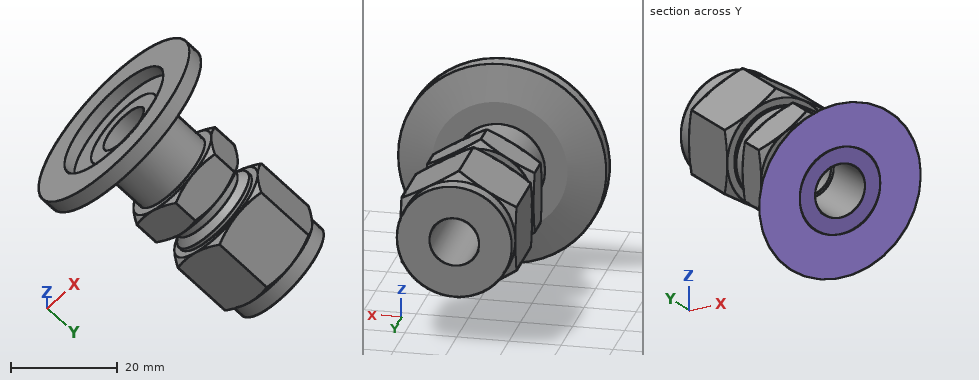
import cadquery as cq
import math


flange_diameter = 40.0
flange_rim_width = 3.12
flange_back = 5.0
flange_cone_angle = 15.0
recess_diameter = 26.2
recess_depth = 2.6

tube_diameter = 17.25
body_hex_flats = 20.65
neck_diameter = 16.0
collar_diameter = 19.05
nut_flats = 22.1
large_bore_diameter = 10.65
small_bore_diameter = 9.5

body_hex_start = 15.5
body_hex_end = 22.55
collar_cone_start = 24.8
collar_cone_end = 26.3
nut_start = 27.05
nut_end = 41.55
fitting_end = 44.65

hex_chamfer_angle = 30.0


def revolve_about_y(profile):
    """Turn a closed outline of (radius, y) points about the Y axis."""
    return cq.Workplane("XY").polyline(profile).close().revolve(360, (0, 0, 0), (0, 1, 0))


def cylinder(diameter, start, end):
    radius = diameter / 2
    return revolve_about_y([(0, start), (radius, start), (radius, end), (0, end)])


def chamfered_hexagon(flats, start, end):
    """Hexagonal bar with corners on the Z axis, trimmed by a cone at each end."""
    corner_radius = flats / math.sqrt(3)
    face_radius = flats / 2
    chamfer = (corner_radius - face_radius) * math.tan(math.radians(hex_chamfer_angle))
    corners = [
        (corner_radius * math.sin(math.radians(angle)), corner_radius * math.cos(math.radians(angle)))
        for angle in range(0, 360, 60)
    ]
    bar = (
        cq.Workplane("XZ", origin=(0, start, 0))
        .polyline(corners)
        .close()
        .extrude(start - end)
    )
    envelope = revolve_about_y([
        (0, start),
        (face_radius, start),
        (corner_radius, start + chamfer),
        (corner_radius, end - chamfer),
        (face_radius, end),
        (0, end),
    ])
    return bar.intersect(envelope)


def make_flange():
    """Ring with a conical back, a recessed front and a hole for the fitting's tube."""
    rim_radius = flange_diameter / 2
    cone_run = (flange_back - flange_rim_width) / math.tan(math.radians(flange_cone_angle))
    return revolve_about_y([
        (recess_diameter / 2, 0),
        (rim_radius, 0),
        (rim_radius, flange_rim_width),
        (rim_radius - cone_run, flange_back),
        (tube_diameter / 2, flange_back),
        (tube_diameter / 2, recess_depth),
        (recess_diameter / 2, recess_depth),
    ])


def make_collar():
    """Short cylinder against the nut, tapering down to the neck."""
    return revolve_about_y([
        (0, collar_cone_start),
        (neck_diameter / 2, collar_cone_start),
        (collar_diameter / 2, collar_cone_end),
        (collar_diameter / 2, nut_start),
        (0, nut_start),
    ])


def make_tube_fitting():
    """Tube flush with the recess floor, body hexagon, neck, collar and nut, bored through."""
    solid = (
        cylinder(tube_diameter, recess_depth, body_hex_start)
        .union(chamfered_hexagon(body_hex_flats, body_hex_start, body_hex_end))
        .union(cylinder(neck_diameter, body_hex_end, collar_cone_start))
        .union(make_collar())
        .union(chamfered_hexagon(nut_flats, nut_start, nut_end))
        .union(cylinder(nut_flats, nut_end, fitting_end))
    )
    large_bore = cylinder(large_bore_diameter, recess_depth, body_hex_start)
    small_bore = cylinder(small_bore_diameter, body_hex_start, fitting_end)
    return solid.cut(large_bore).cut(small_bore)


flange = make_flange()
tube_fitting = make_tube_fitting()

result = cq.Compound.makeCompound([flange.val(), *tube_fitting.solids().vals()])